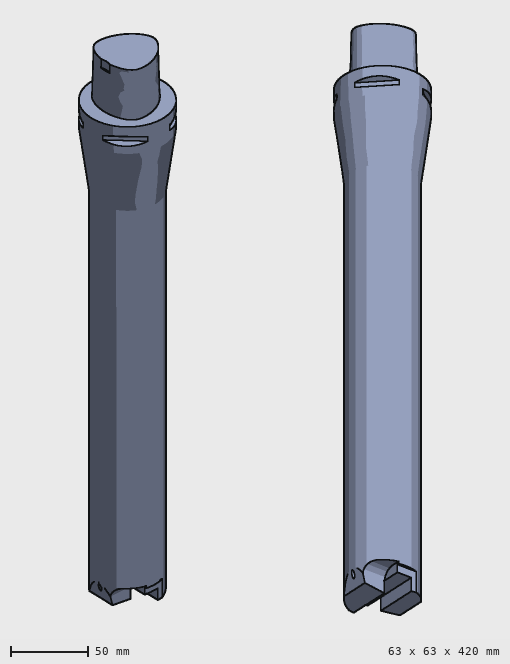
import cadquery as cq
import math

total_length = 420.0
shank_length = 38.2
flange_height = 21.0
cone_height = 48.7
flange_diameter = 63.0
body_diameter = 50.0
flange_top = total_length - shank_length
flange_bottom = flange_top - flange_height
cone_bottom = flange_bottom - cone_height
body_radius = body_diameter / 2

shank_top_radius = 21.0
shank_base_radius = 22.05
lobe_height = 1.5
points_per_lobe = 8

groove_radius = 12.5
groove_depth = 1.0
groove_length = 6.7

slot_floor_distance = 27.95
slot_drop = 11.5
slot_floor_height = 3.5
slot_wall_angle = 30
slot_count = 4

channel_width = 11.5
channel_height = 10.0
side_flat_distance = 23.0
side_flat_height = 16.0
pocket_wall_x = 9.2
pocket_height = 17.5
pocket_corner_radius = 9.0
relief_top = 17.0
relief_angle = 14
end_slope_angle = 7.5
rear_tooth_setback = 1.0
coolant_diameter = 2.5
coolant_depth = 12.5
coolant_angle = 12
coolant_start_z = 12.5


def lobed_point(angle, mean_radius):
    """Point of the trilobe whose support distance is mean_radius + lobe_height * cos(3 * angle).

    The angle is measured from +Y, where one lobe peaks.
    """
    support = mean_radius + lobe_height * math.cos(3 * angle)
    slope = -3 * lobe_height * math.sin(3 * angle)
    x = support * math.sin(angle) + slope * math.cos(angle)
    y = support * math.cos(angle) - slope * math.sin(angle)
    return x, y


def lobed_wire(mean_radius, z):
    count = 3 * points_per_lobe
    points = [lobed_point(2 * math.pi * i / count, mean_radius) for i in range(count)]
    outline = cq.Workplane("XY").workplane(offset=z).spline(points, periodic=True)
    return cq.Wire.assembleEdges(outline.vals())


def make_shank():
    solid = cq.Solid.makeLoft([
        lobed_wire(shank_base_radius, flange_top),
        lobed_wire(shank_top_radius, total_length),
    ])
    face_y = -(shank_top_radius - lobe_height)
    groove = (
        cq.Workplane("XY")
        .workplane(offset=total_length - groove_length)
        .center(0, face_y + groove_depth - groove_radius)
        .circle(groove_radius)
        .extrude(groove_length)
    )
    return cq.Workplane(obj=solid).cut(groove)


def make_body():
    flange_radius = flange_diameter / 2
    return (
        cq.Workplane("XZ")
        .moveTo(0, 0)
        .lineTo(body_radius, 0)
        .lineTo(body_radius, cone_bottom)
        .lineTo(flange_radius, flange_bottom)
        .lineTo(flange_radius, flange_top)
        .lineTo(0, flange_top)
        .close()
        .revolve(360, (0, 0, 0), (0, 1, 0))
    )


def gripper_slot():
    """Trapezoidal groove running along Y on the +X side of the flange."""
    outer_x = flange_diameter / 2 + 2.0
    wall_rise = (outer_x - slot_floor_distance) * math.tan(math.radians(slot_wall_angle))
    floor_half = slot_floor_height / 2
    mouth_half = floor_half + wall_rise
    return (
        cq.Workplane("XZ", origin=(0, 0, flange_top - slot_drop))
        .polyline([
            (slot_floor_distance, -floor_half),
            (outer_x, -mouth_half),
            (outer_x, mouth_half),
            (slot_floor_distance, floor_half),
        ])
        .close()
        .extrude(flange_diameter / 2, both=True)
    )


def chip_pocket():
    """Pocket beside the -Y tooth, open towards +X and -Y, with a rounded inner corner."""
    corner_x = pocket_wall_x + pocket_corner_radius
    corner_z = pocket_height - pocket_corner_radius
    diagonal = pocket_corner_radius * math.sqrt(0.5)
    return (
        cq.Workplane("XZ", origin=(0, -channel_width / 2, 0))
        .moveTo(pocket_wall_x, 0)
        .lineTo(pocket_wall_x, corner_z)
        .threePointArc((corner_x - diagonal, corner_z + diagonal), (corner_x, pocket_height))
        .lineTo(body_diameter, pocket_height)
        .lineTo(body_diameter, 0)
        .close()
        .extrude(body_diameter)
    )


def tooth_relief(setback):
    """Clearance outside the -Y tooth: a leaning outer flat and a sloping end face.

    The end face is raised by the setback.
    """
    inner_y = -channel_width / 2
    outer_y = -body_diameter
    foot_y = -body_radius + relief_top * math.tan(math.radians(relief_angle))
    end_rise = (inner_y - outer_y) * math.tan(math.radians(end_slope_angle))
    outer_flat = (
        cq.Workplane("YZ")
        .polyline([(foot_y, 0), (-body_radius, relief_top), (outer_y, relief_top), (outer_y, 0)])
        .close()
        .extrude(body_diameter, both=True)
    )
    base_z = -4.0
    end_face = (
        cq.Workplane("YZ")
        .polyline([
            (0, base_z),
            (0, setback),
            (inner_y, setback),
            (outer_y, setback + end_rise),
            (outer_y, base_z),
        ])
        .close()
        .extrude(body_diameter, both=True)
    )
    return outer_flat.union(end_face)


def coolant_hole():
    """Steep blind hole rising inwards from the relief flat."""
    start_y = -body_radius + (relief_top - coolant_start_z) * math.tan(math.radians(relief_angle))
    tilt = math.radians(coolant_angle)
    direction = cq.Vector(0, math.sin(tilt), math.cos(tilt))
    start = cq.Vector(0, start_y, coolant_start_z) - direction * coolant_depth
    return cq.Workplane(
        obj=cq.Solid.makeCylinder(coolant_diameter / 2, 2 * coolant_depth, start, direction)
    )


def side_flat():
    return cq.Workplane("XY").box(
        body_radius, body_diameter, side_flat_height, centered=(False, True, False)
    ).translate((side_flat_distance, 0, 0))


result = make_body().union(make_shank())

for i in range(slot_count):
    slot_angle = (i + 0.5) * 360 / slot_count
    result = result.cut(gripper_slot().rotate((0, 0, 0), (0, 0, 1), slot_angle))

channel = cq.Workplane("XY").box(
    2 * body_diameter, channel_width, channel_height, centered=(True, True, False)
)
result = result.cut(channel)

for turn, setback in ((0, 0.0), (180, rear_tooth_setback)):
    for cutter in (chip_pocket(), tooth_relief(setback), side_flat(), coolant_hole()):
        result = result.cut(cutter.rotate((0, 0, 0), (0, 0, 1), turn))